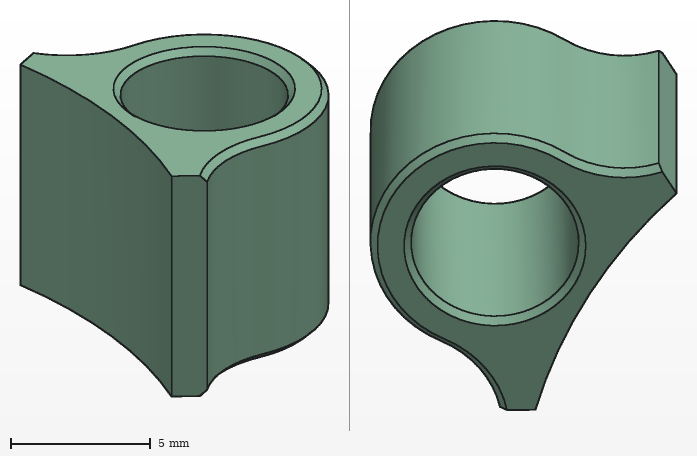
import cadquery as cq
import math

height = 8.89
sleeve_radius = height / 2
bore_radius = 3.0
chamfer = 0.25

foot_half_width = 5.72
foot_top_y = -3.47
tip_half_width = 5.07
tip_y = -4.57
saddle_top_y = -3.91
tangent_drop = 0.33


def flank_points():
    """Start and middle of the right-hand concave arc, tangent to the sleeve."""
    start_angle = -math.asin(tangent_drop / sleeve_radius)
    ray_x = math.cos(start_angle)
    ray_y = math.sin(start_angle)
    reach = foot_half_width * ray_x + foot_top_y * ray_y
    foot_distance = math.hypot(foot_half_width, foot_top_y)
    radius = (foot_distance**2 - 2 * sleeve_radius * reach + sleeve_radius**2) / (
        2 * (reach - sleeve_radius)
    )
    centre_x = (sleeve_radius + radius) * ray_x
    centre_y = (sleeve_radius + radius) * ray_y
    start = (sleeve_radius * ray_x, sleeve_radius * ray_y)
    chord_mid_x = (start[0] + foot_half_width) / 2 - centre_x
    chord_mid_y = (start[1] + foot_top_y) / 2 - centre_y
    stretch = radius / math.hypot(chord_mid_x, chord_mid_y)
    middle = (centre_x + stretch * chord_mid_x, centre_y + stretch * chord_mid_y)
    return start, middle


(start_x, start_y), (mid_x, mid_y) = flank_points()

body = (
    cq.Workplane("XY")
    .moveTo(-start_x, start_y)
    .threePointArc((0, sleeve_radius), (start_x, start_y))
    .threePointArc((mid_x, mid_y), (foot_half_width, foot_top_y))
    .lineTo(tip_half_width, tip_y)
    .threePointArc((0, saddle_top_y), (-tip_half_width, tip_y))
    .lineTo(-foot_half_width, foot_top_y)
    .threePointArc((-mid_x, mid_y), (-start_x, start_y))
    .close()
    .extrude(height)
)

rim_limits = cq.selectors.BoxSelector(
    (-foot_half_width, mid_y - chamfer, -height),
    (foot_half_width, sleeve_radius + chamfer, 2 * height),
)
body = body.faces("<Z or >Z").edges(rim_limits).chamfer(chamfer)

bore = cq.Workplane("XY").circle(bore_radius).extrude(height)
result = body.cut(bore)
result = result.faces("<Z or >Z").edges("%CIRCLE").edges(
    cq.selectors.RadiusNthSelector(0)
).chamfer(chamfer)